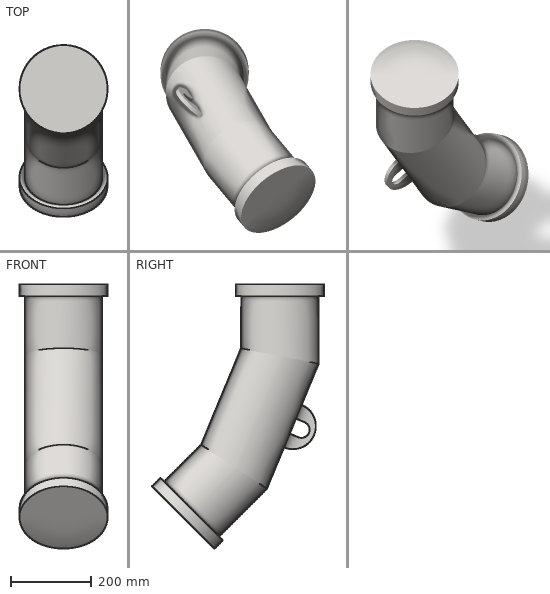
import cadquery as cq
import math

pipe_diameter = 193.7
bend_radius = 750.0
bend_angle = 45.0
mitre_count = 2

flange_diameter = 220.0
flange_thickness = 30.0

lug_radius = 57.5
lug_thickness = 10.0
slot_width = 40.0
slot_reach = 23.0

turn_per_mitre = bend_angle / mitre_count
half_segment = bend_radius * math.tan(math.radians(turn_per_mitre / 2))
end_length = half_segment + flange_thickness
middle_length = 2 * half_segment


def heading(angle):
    """Unit vector in the YZ plane, turned from straight down towards -Y."""
    turn = math.radians(angle)
    return cq.Vector(0, -math.sin(turn), -math.cos(turn))


top_heading = heading(0)
middle_heading = heading(turn_per_mitre)
bottom_heading = heading(bend_angle)

top_end = cq.Vector(0, 0, 0)
upper_joint = top_end + top_heading * end_length
lower_joint = upper_joint + middle_heading * middle_length
bottom_end = lower_joint + bottom_heading * end_length


def make_pipe():
    """Solid round bar swept along the centreline with mitred corners."""
    corners = [top_end, upper_joint, lower_joint, bottom_end]
    path = cq.Workplane("XY").polyline([corner.toTuple() for corner in corners])
    return cq.Workplane("XY").circle(pipe_diameter / 2).sweep(path, transition="right")


def make_flange(outer_centre, inward):
    """Disc with its outer face on the end of the centreline."""
    disc = cq.Solid.makeCylinder(flange_diameter / 2, flange_thickness, outer_centre, inward)
    return cq.Workplane(obj=disc)


def make_lug():
    """Slotted round plate centred on the pipe surface, halfway along the middle segment."""
    outward = heading(turn_per_mitre - 90)
    segment_middle = (upper_joint + lower_joint) * 0.5
    lug_centre = segment_middle + outward * (pipe_diameter / 2)
    plane = cq.Plane(origin=lug_centre, xDir=outward, normal=(1, 0, 0))
    plate = cq.Workplane(plane).circle(lug_radius).extrude(lug_thickness / 2, both=True)
    slot = (
        cq.Workplane(plane)
        .center(slot_reach / 2, 0)
        .slot2D(slot_reach + slot_width, slot_width)
        .extrude(lug_thickness / 2, both=True)
    )
    return plate.cut(slot)


result = (
    make_pipe()
    .union(make_flange(top_end, top_heading))
    .union(make_flange(bottom_end, bottom_heading * -1))
    .union(make_lug())
)